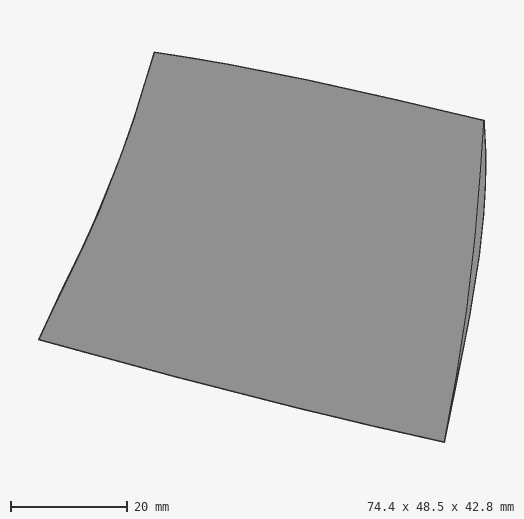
import cadquery as cq


LEADING_BAND = cq.Vector(0, 0.3, -0.45)
TRAILING_BAND = cq.Vector(0, 0.2, -0.45)

ROOT_LEADING = cq.Vector(10.05, 39.4, 42.8)
ROOT_TRAILING = cq.Vector(0, 4.2, 0.45)
TIP_LEADING = cq.Vector(66.8, 48.2, 34.0)
TIP_TRAILING = cq.Vector(74.4, 0, 6.3)

ROOT_UPPER = [(8.6, 33.4, 32.7), (7.0, 27.1, 23.75), (5.8, 21.9, 18.4), (4.6, 17.95, 14.2)]
ROOT_LOWER = [(7.3, 33.65, 25.2), (5.3, 26.35, 16.2), (3.9, 20.3, 11.0), (2.1, 13.5, 6.2)]
TIP_UPPER = [(68.6, 39.8, 28.6), (71.75, 23.75, 19.7), (73.4, 11.5, 12.9)]
TIP_LOWER = [(69.4, 40.9, 27.25), (72.3, 25.5, 18.75), (73.5, 11.9, 11.6)]

LEADING = [(28.6, 43.0, 40.0), (47.85, 45.85, 37.0)]
TRAILING = [(32.6, 2.4, 2.1), (53.6, 1.2, 3.9)]

LOWER_MIDDLE = cq.Vector(37.95, 24.4, 16.7)


def curve(start, middle, end):
    """Smooth curve from one corner to another through the points between them."""
    return cq.Edge.makeSpline([start] + middle + [end])


def vectors(points):
    """Coordinate tuples as vectors."""
    return [cq.Vector(*point) for point in points]


def skin(root_points, tip_points, leading_shift, trailing_shift):
    """Boundary curves (root, tip, leading, trailing) of one blade skin."""
    root_leading = ROOT_LEADING + leading_shift
    root_trailing = ROOT_TRAILING + trailing_shift
    tip_leading = TIP_LEADING + leading_shift
    tip_trailing = TIP_TRAILING + trailing_shift
    leading_points = [point + leading_shift for point in vectors(LEADING)]
    trailing_points = [point + trailing_shift for point in vectors(TRAILING)]
    return [
        curve(root_leading, vectors(root_points), root_trailing),
        curve(tip_leading, vectors(tip_points), tip_trailing),
        curve(root_leading, leading_points, tip_leading),
        curve(root_trailing, trailing_points, tip_trailing),
    ]


no_shift = cq.Vector(0, 0, 0)
upper = skin(ROOT_UPPER, TIP_UPPER, no_shift, no_shift)
lower = skin(ROOT_LOWER, TIP_LOWER, LEADING_BAND, TRAILING_BAND)

skins = [cq.Face.makeNSidedSurface(upper, []), cq.Face.makeNSidedSurface(lower, [LOWER_MIDDLE])]
rims = [cq.Face.makeRuledSurface(top, bottom) for top, bottom in zip(upper, lower)]
result = cq.Workplane(cq.Solid.makeSolid(cq.Shell.makeShell(skins + rims)))